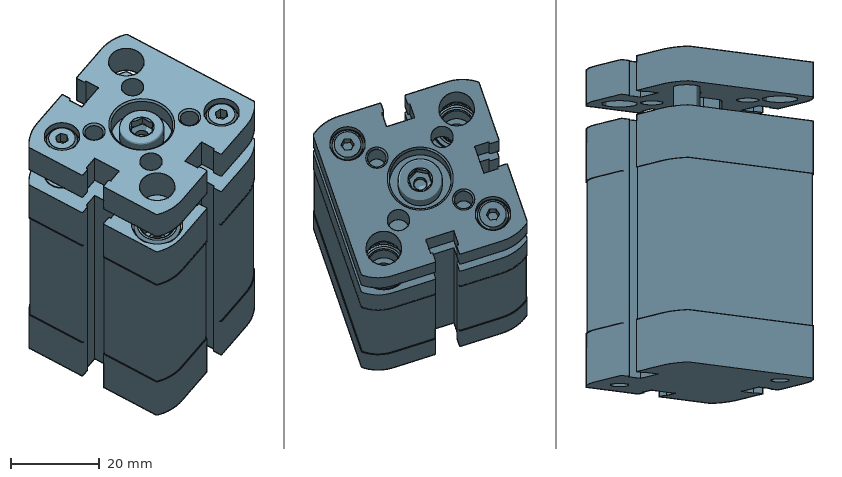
import cadquery as cq
import math

height = 72.5
width = 39.5
half_width = width / 2

plate_thickness = 8.0
gap_height = 5.5
cap_height = 12.0
plate_bottom = height - plate_thickness
housing_top = plate_bottom - gap_height

flank_radius = 10.9
flank_start = 13.0
corner_radius = 0.7
barrel_inset = 0.2

slot_mouth = 5.65
slot_width = 6.7
slot_depth = 5.7
slot_lip = 2.3
slot_edge_radius = 0.3

corner_offset = 13.0
small_hole_offset = 7.75
guide_diameter = 6.0
guide_ring_diameter = 8.0
guide_ring_depth = 0.2
rod_insertion = cap_height
rod_bottom = housing_top - rod_insertion

rod_diameter = 10.0
rod_across_flats = 9.0
rod_shoulder_height = 1.15
rod_drop = 0.9
rod_top = height - rod_drop
rod_end_radius = 0.4
rod_recess_diameter = 14.0
rod_recess_depth = 4.7
rod_recess_chamfer = 0.4

rod_socket_angle = 0.0
screw_socket_angle = 15.0
rod_socket_flats = 4.8
rod_socket_mouth = 5.6
rod_socket_depth = 2.4
socket_floor_slope = 30.0
rod_pilot_diameter = 3.0
rod_pilot_depth = 1.45
screw_socket_flats = 2.55
screw_socket_depth = 2.9

screw_head_diameter = 7.0
screw_head_drop = 0.65
screw_head_chamfer = 0.5
screw_recess_diameter = 8.0
screw_recess_depth = 2.2

small_hole_diameter = 5.0
thread_diameter = 4.1
access_diameter = 8.0

mount_recess_diameter = 11.5
mount_recess_depth = 1.6
mount_collar_base = 10.5
mount_collar_top = 9.0
mount_collar_drop = 0.2
mount_mouth_diameter = 8.0
mount_seat_diameter = 7.5
mount_seat_depth = 6.5
mount_hole_chamfer_diameter = 5.0
mount_hole_diameter = 4.1

rising_diagonal = [(1, 1), (-1, -1)]
falling_diagonal = [(-1, 1), (1, -1)]


def on_diagonal(signs, offset):
    return [(sx * offset, sy * offset) for sx, sy in signs]


def cylinder(diameter, z_low, z_high, points):
    base = cq.Workplane("XY").workplane(offset=z_low).pushPoints(points)
    return base.circle(diameter / 2).extrude(z_high - z_low)


def cone(low_diameter, high_diameter, z_low, z_high, points):
    solids = [
        cq.Solid.makeCone(low_diameter / 2, high_diameter / 2, z_high - z_low, cq.Vector(x, y, z_low))
        for x, y in points
    ]
    return cq.Workplane("XY").newObject(solids)


def hexagon(across_flats, turn, z_low, z_high, points):
    across_corners = across_flats / math.cos(math.pi / 6)
    tool = cq.Workplane("XY").polygon(6, across_corners).extrude(z_high - z_low)
    tool = tool.rotate((0, 0, 0), (0, 0, 1), turn).val()
    return cq.Workplane("XY").newObject(
        [tool.moved(cq.Location(cq.Vector(x, y, z_low))) for x, y in points]
    )


def slot_section(inset):
    """T-slot in the -Y side, with rounded edges along both lips."""
    face = -half_width + inset
    lip = -half_width + slot_lip
    floor = -half_width + slot_depth
    mouth = slot_mouth / 2
    wide = slot_width / 2
    flare = mouth + slot_edge_radius
    bend = slot_edge_radius * (1 - math.sqrt(0.5))
    return (
        cq.Workplane("XY")
        .moveTo(-flare, face)
        .threePointArc((-mouth - bend, face + bend), (-mouth, face + slot_edge_radius))
        .lineTo(-mouth, lip - slot_edge_radius)
        .threePointArc((-mouth - bend, lip - bend), (-flare, lip))
        .lineTo(-wide, lip)
        .lineTo(-wide, floor)
        .lineTo(wide, floor)
        .lineTo(wide, lip)
        .lineTo(flare, lip)
        .threePointArc((mouth + bend, lip - bend), (mouth, lip - slot_edge_radius))
        .lineTo(mouth, face + slot_edge_radius)
        .threePointArc((mouth + bend, face + bend), (flare, face))
        .close()
    )


def slotted_block(z_low, z_high, inset=0.0):
    """Square block with bowed X sides, rounded corners and three T-slots."""
    side = half_width - inset
    flank = flank_radius - inset
    corner = corner_radius - inset
    flank_x = side - flank
    corner_y = side - corner
    corner_x = flank_x + math.sqrt((flank - corner) ** 2 - (corner_y - flank_start) ** 2)
    join_angle = math.atan2(corner_y - flank_start, corner_x - flank_x)
    mid_corner = (join_angle + math.pi / 2) / 2

    def flank_point(angle):
        return flank_x + flank * math.cos(angle), flank_start + flank * math.sin(angle)

    def corner_point(angle):
        return corner_x + corner * math.cos(angle), corner_y + corner * math.sin(angle)

    quarter = (
        cq.Workplane("XY")
        .workplane(offset=z_low)
        .lineTo(side, 0)
        .lineTo(side, flank_start)
        .threePointArc(flank_point(join_angle / 2), flank_point(join_angle))
        .threePointArc(corner_point(mid_corner), (corner_x, side))
        .lineTo(0, side)
        .close()
        .extrude(z_high - z_low)
    )
    half = quarter.union(quarter.mirror("YZ"))
    block = half.union(half.mirror("XZ")).clean()
    slot = slot_section(inset).extrude(z_high - z_low).translate((0, 0, z_low))
    for angle in (-90, 0, 90):
        block = block.cut(slot.rotate((0, 0, 0), (0, 0, 1), angle))
    return block


def make_housing():
    barrel_top = housing_top - cap_height
    body = slotted_block(0, cap_height)
    body = body.union(slotted_block(cap_height, barrel_top, barrel_inset))
    body = body.union(slotted_block(barrel_top, housing_top))

    guides = on_diagonal(rising_diagonal, corner_offset)
    body = body.cut(cylinder(rod_diameter, rod_bottom, housing_top, [(0, 0)]))
    body = body.cut(cylinder(guide_diameter, rod_bottom, housing_top, guides))
    body = body.cut(cylinder(guide_ring_diameter, housing_top - guide_ring_depth, housing_top, guides))

    mounts = on_diagonal(falling_diagonal, corner_offset)
    collar_face = housing_top - mount_collar_drop
    recess_floor = housing_top - mount_recess_depth
    taper_bottom = collar_face - (mount_collar_base - mount_collar_top) / 2
    body = body.cut(cylinder(mount_recess_diameter, recess_floor, housing_top, mounts))
    body = body.union(cylinder(mount_collar_base, recess_floor, taper_bottom, mounts))
    body = body.union(cone(mount_collar_base, mount_collar_top, taper_bottom, collar_face, mounts))

    mouth_bottom = collar_face - (mount_mouth_diameter - mount_seat_diameter) / 2
    seat = housing_top - mount_seat_depth
    chamfer_bottom = seat - (mount_hole_chamfer_diameter - mount_hole_diameter) / 2
    body = body.cut(cone(mount_seat_diameter, mount_mouth_diameter, mouth_bottom, collar_face, mounts))
    body = body.cut(cylinder(mount_seat_diameter, seat, collar_face, mounts))
    body = body.cut(cone(mount_hole_diameter, mount_hole_chamfer_diameter, chamfer_bottom, seat, mounts))
    return body.cut(cylinder(mount_hole_diameter, 0, seat, mounts))


def cut_plate_holes(plate):
    access = on_diagonal(falling_diagonal, corner_offset)
    plain = on_diagonal(falling_diagonal, small_hole_offset)
    threaded = on_diagonal(rising_diagonal, small_hole_offset)
    chamfer_bottom = height - (small_hole_diameter - thread_diameter) / 2
    plate = plate.cut(cylinder(access_diameter, plate_bottom, height, access))
    plate = plate.cut(cylinder(small_hole_diameter, plate_bottom, height, plain))
    plate = plate.cut(cylinder(thread_diameter, plate_bottom, height, threaded))
    return plate.cut(cone(thread_diameter, small_hole_diameter, chamfer_bottom, height, threaded))


def add_piston_rod(plate):
    centre = [(0, 0)]
    rim = rod_recess_diameter + 2 * rod_recess_chamfer
    plate = plate.cut(cylinder(rod_recess_diameter, height - rod_recess_depth, height, centre))
    plate = plate.cut(cone(rod_recess_diameter, rim, height - rod_recess_chamfer, height, centre))

    rod = cylinder(rod_diameter, rod_bottom, rod_top, centre)
    rod = rod.faces(">Z").fillet(rod_end_radius)
    flats_bottom = housing_top + rod_shoulder_height
    flats_height = plate_bottom - flats_bottom
    for side in (-1, 1):
        beyond_flat = cq.Workplane("XY").box(rod_diameter, rod_diameter, flats_height, (True, True, False))
        shift = side * (rod_across_flats + rod_diameter) / 2
        rod = rod.cut(beyond_flat.translate((0, shift, flats_bottom)))
    return plate.union(rod)


def cut_rod_socket(moving_unit):
    """Hexagon socket with a conical floor and a pointed pilot hole."""
    centre = [(0, 0)]
    floor = rod_top - rod_socket_depth
    slope = math.tan(math.radians(socket_floor_slope))
    cone_bottom = floor - slope * (rod_socket_mouth - rod_pilot_diameter) / 2
    pilot_bottom = cone_bottom - rod_pilot_depth
    tip = pilot_bottom - slope * rod_pilot_diameter / 2
    mouth_bottom = rod_top - (rod_socket_mouth - rod_socket_flats) / 2
    moving_unit = moving_unit.cut(cone(rod_socket_flats, rod_socket_mouth, mouth_bottom, rod_top, centre))
    moving_unit = moving_unit.cut(hexagon(rod_socket_flats, rod_socket_angle, floor, rod_top, centre))
    moving_unit = moving_unit.cut(cone(rod_pilot_diameter, rod_socket_mouth, cone_bottom, floor, centre))
    moving_unit = moving_unit.cut(cylinder(rod_pilot_diameter, pilot_bottom, cone_bottom, centre))
    moving_unit = moving_unit.cut(cone(0, rod_pilot_diameter, tip, pilot_bottom, centre))
    return moving_unit


def add_guide_rods(plate):
    places = on_diagonal(rising_diagonal, corner_offset)
    recess_floor = height - screw_recess_depth
    head_top = height - screw_head_drop
    plate = plate.cut(cylinder(screw_recess_diameter, recess_floor, height, places))
    heads = cylinder(screw_head_diameter, recess_floor, head_top, places)
    heads = heads.faces(">Z").chamfer(screw_head_chamfer)
    sockets = hexagon(screw_socket_flats, screw_socket_angle, head_top - screw_socket_depth, head_top, places)
    rods = cylinder(guide_diameter, rod_bottom, plate_bottom, places)
    plate = plate.union(heads).union(rods)
    return plate.cut(sockets)


def make_moving_unit():
    plate = slotted_block(plate_bottom, height)
    plate = cut_plate_holes(plate)
    plate = add_piston_rod(plate)
    plate = add_guide_rods(plate)
    return cut_rod_socket(plate)


housing = make_housing()
moving_unit = make_moving_unit()

result = cq.Compound.makeCompound([housing.val(), moving_unit.val()])